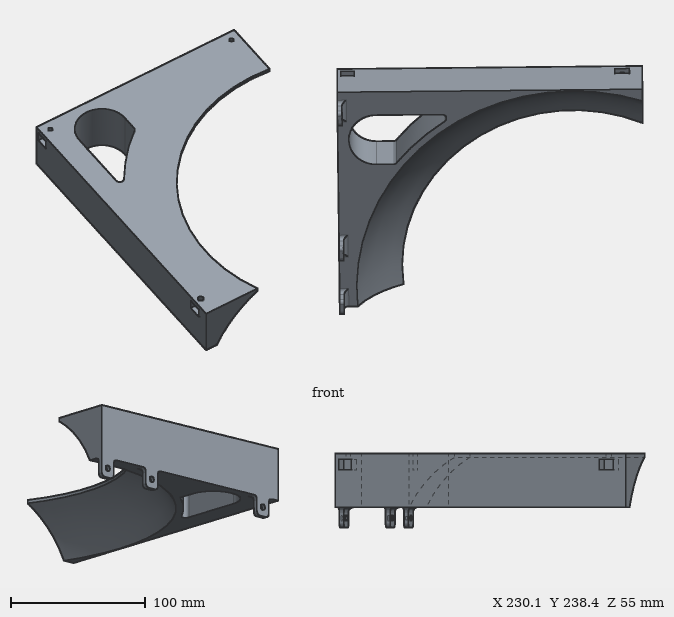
import cadquery as cq
import math

TILT = 18.0
LENGTH = 227.0
WIDTH = 176.9
HEIGHT = 40.0

ARCH_X = 174.5
ARCH_Y = 162.5
ARCH_LIP_RADIUS = 127.8
ARCH_MIDDLE_RADIUS = 146.3
ARCH_BOTTOM_RADIUS = 161.5
ARCH_LIP_HEIGHT = 2.6
ARCH_MIDDLE_DROP = 17.6

WINDOW_X = 28.5
WINDOW_Y = 39.5
WINDOW_RADIUS = 20.3
WINDOW_ARC_RADIUS = 167.0
WINDOW_CORNER_RADIUS = 2.5
WINDOW_TIP_RADIUS = 3.0

POCKET_TOP_DROP = 4.3
POCKET_HEIGHT = 7.9
POCKET_DEPTH = 12.0
SCREW_DEPTH = POCKET_TOP_DROP + POCKET_HEIGHT
POCKETS = [(7.6, 10.0), (212.0, 11.0)]
SCREWS = [(7.6, 7.5, 3.3), (212.0, 5.2, 4.3), (7.5, WIDTH - 7.5, 3.3)]

TAB_WIDTH = 12.0
TAB_THICKNESS = 3.5
TAB_DROP = 15.0
TAB_CORNER_RADIUS = 2.9
TAB_ROOT_RADIUS = 3.0
TAB_HOLE_DIAMETER = 4.3
TAB_HOLE_DROP = 7.9
TAB_CENTERS = [15.5, 126.8, WIDTH - TAB_WIDTH / 2]


def arch_cutter():
    middle = (ARCH_MIDDLE_RADIUS, HEIGHT - ARCH_MIDDLE_DROP)
    return (
        cq.Workplane("XZ")
        .lineTo(ARCH_BOTTOM_RADIUS, 0)
        .threePointArc(middle, (ARCH_LIP_RADIUS, HEIGHT - ARCH_LIP_HEIGHT))
        .lineTo(ARCH_LIP_RADIUS, HEIGHT)
        .lineTo(0, HEIGHT)
        .close()
        .revolve(360, (0, 0, 0), (0, 1, 0))
        .translate((ARCH_X, ARCH_Y, 0))
    )


def window_arc_point(y):
    """Point of the window's slanted side at the given y."""
    return ARCH_X - math.sqrt(WINDOW_ARC_RADIUS**2 - (ARCH_Y - y) ** 2), y


def window_cutter():
    low = WINDOW_Y - WINDOW_RADIUS
    high = WINDOW_Y + WINDOW_RADIUS
    return (
        cq.Workplane("XY")
        .moveTo(WINDOW_X, high)
        .threePointArc((WINDOW_X - WINDOW_RADIUS, WINDOW_Y), (WINDOW_X, low))
        .lineTo(*window_arc_point(low))
        .threePointArc(window_arc_point(WINDOW_Y), window_arc_point(high))
        .close()
        .extrude(HEIGHT)
        .edges("|Z and >X")
        .fillet(WINDOW_TIP_RADIUS)
        .edges(cq.selectors.NearestToPointSelector((*window_arc_point(high), HEIGHT / 2)))
        .fillet(WINDOW_CORNER_RADIUS)
    )


def pocket_cutter(x, width):
    return (
        cq.Workplane("XY")
        .box(width, POCKET_DEPTH, POCKET_HEIGHT, centered=(True, False, False))
        .translate((x, 0, HEIGHT - SCREW_DEPTH))
    )


def screw_cutter(x, y, diameter):
    bottom = cq.Workplane("XY", origin=(x, y, HEIGHT - SCREW_DEPTH))
    return bottom.circle(diameter / 2).extrude(SCREW_DEPTH)


def tab(center):
    body = (
        cq.Workplane("XY")
        .box(TAB_THICKNESS, TAB_WIDTH, TAB_DROP, centered=(False, True, False))
        .translate((0, center, -TAB_DROP))
        .edges("|X and <Z")
        .fillet(TAB_CORNER_RADIUS)
    )
    hole = (
        cq.Workplane("YZ")
        .center(center, -TAB_HOLE_DROP)
        .circle(TAB_HOLE_DIAMETER / 2)
        .extrude(TAB_THICKNESS)
    )
    return body.cut(hole)


def root_edges():
    """Edges where the tabs meet the underside, except those on the outer faces."""
    margin = 0.2
    low_corner = (margin, margin, -margin)
    high_corner = (TAB_THICKNESS + margin, WIDTH - margin, margin)
    return cq.selectors.BoxSelector(low_corner, high_corner)


plate = cq.Workplane("XY").box(LENGTH, WIDTH, HEIGHT, centered=False)
plate = plate.cut(arch_cutter()).cut(window_cutter())
for pocket_x, pocket_width in POCKETS:
    plate = plate.cut(pocket_cutter(pocket_x, pocket_width))
for screw_x, screw_y, screw_diameter in SCREWS:
    plate = plate.cut(screw_cutter(screw_x, screw_y, screw_diameter))
for tab_center in TAB_CENTERS:
    plate = plate.union(tab(tab_center))
plate = plate.edges(root_edges()).fillet(TAB_ROOT_RADIUS)

result = plate.rotate((0, 0, 0), (0, 0, 1), -TILT)